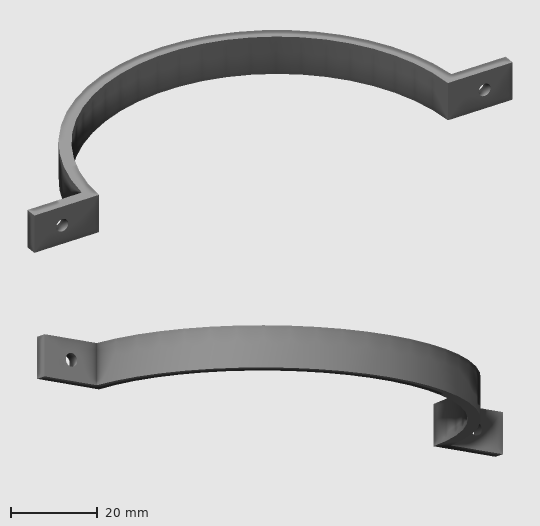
import cadquery as cq
import math

overall_length = 130.0
depth = 48.8
strap_width = 10.0
thickness = 3.0
outer_radius = 50.5
hole_diameter = 3.2
hole_spacing = 114.8

inner_radius = outer_radius - thickness
arc_center_x = outer_radius - depth
half_length = overall_length / 2
ear_back_x = -thickness


def arc_half_width(radius, x):
    """Distance from the symmetry plane to the arc at position x."""
    return math.sqrt(radius**2 - (x - arc_center_x) ** 2)


def make_strap():
    """Half-ring strap with a straight ear at each end."""
    inner_end = arc_half_width(inner_radius, 0)
    outer_end = arc_half_width(outer_radius, ear_back_x)
    return (
        cq.Workplane("XY")
        .moveTo(0, half_length)
        .lineTo(ear_back_x, half_length)
        .lineTo(ear_back_x, outer_end)
        .threePointArc((-depth, 0), (ear_back_x, -outer_end))
        .lineTo(ear_back_x, -half_length)
        .lineTo(0, -half_length)
        .lineTo(0, -inner_end)
        .threePointArc((arc_center_x - inner_radius, 0), (0, inner_end))
        .close()
        .extrude(strap_width)
    )


def make_ear_holes():
    """Screw holes running along X through the middle of each ear's width."""
    return (
        cq.Workplane("YZ", origin=(ear_back_x, 0, strap_width / 2))
        .pushPoints([(-hole_spacing / 2, 0), (hole_spacing / 2, 0)])
        .circle(hole_diameter / 2)
        .extrude(thickness)
    )


result = make_strap().cut(make_ear_holes())